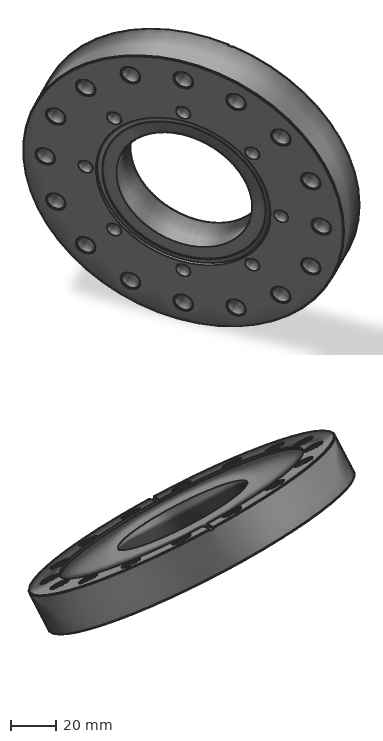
import cadquery as cq
import math

outer_diameter = 151.6
thickness = 19.9
bore_diameter = 64.0
rim_chamfer = 0.5

seal_diameter = 82.5
knife_tip_diameter = 77.2
knife_inner_diameter = 76.9
seal_depth = 1.2
knife_tip_depth = 0.6
knife_slope_angle = 20

rear_recess_diameter = 120.7
rear_recess_depth = 1.2

bolt_count = 16
bolt_circle = 130.2
bolt_hole_diameter = 8.5
bolt_hole_chamfer = 0.5

tapped_count = 8
tapped_circle = 92.2
tapped_hole_diameter = 6.8
tapped_hole_depth = 13.6
drill_tip_angle = 118

groove_width = 2.0
groove_depth = 0.9
groove_tilt = 180 / bolt_count

outer_radius = outer_diameter / 2
front = -thickness / 2
rear = thickness / 2


def revolved(points):
    """Turn a closed (radius, y) outline about the Y axis."""
    return cq.Workplane("XY").polyline(points).close().revolve(360, (0, 0, 0), (0, 1, 0))


def ring_positions(count, circle):
    """Equally spaced (x, z) places on a circle, the first one on +X."""
    step = 2 * math.pi / count
    return [(circle / 2 * math.cos(i * step), circle / 2 * math.sin(i * step)) for i in range(count)]


def flange_body():
    seal_radius = seal_diameter / 2
    knife_tip_radius = knife_tip_diameter / 2
    knife_inner_radius = knife_inner_diameter / 2
    bore_radius = bore_diameter / 2
    rear_recess_radius = rear_recess_diameter / 2
    seal_floor = front + seal_depth
    knife_tip = front + knife_tip_depth
    slope_foot = knife_tip + (seal_radius - knife_tip_radius) * math.tan(math.radians(knife_slope_angle))
    recess_floor = rear - rear_recess_depth
    return revolved([
        (bore_radius, seal_floor),
        (knife_inner_radius, seal_floor),
        (knife_tip_radius, knife_tip),
        (seal_radius, slope_foot),
        (seal_radius, front),
        (outer_radius - rim_chamfer, front),
        (outer_radius, front + rim_chamfer),
        (outer_radius, rear - rim_chamfer),
        (outer_radius - rim_chamfer, rear),
        (rear_recess_radius, rear),
        (rear_recess_radius, recess_floor),
        (bore_radius, recess_floor),
    ])


def bolt_hole():
    """Through hole chamfered at both faces."""
    radius = bolt_hole_diameter / 2
    mouth_radius = radius + bolt_hole_chamfer
    return revolved([
        (0, front),
        (mouth_radius, front),
        (radius, front + bolt_hole_chamfer),
        (radius, rear - bolt_hole_chamfer),
        (mouth_radius, rear),
        (0, rear),
    ])


def tapped_hole():
    """Blind hole with a conical drill tip."""
    radius = tapped_hole_diameter / 2
    shoulder = front + tapped_hole_depth
    tip = shoulder + radius / math.tan(math.radians(drill_tip_angle / 2))
    return revolved([(0, front), (radius, front), (radius, shoulder), (0, tip)])


def leak_groove():
    """Radial cutter along +Z that joins the rear recess to the rim."""
    groove = cq.Workplane("XY").box(groove_width, groove_depth, outer_radius, centered=(True, False, False))
    return groove.translate((0, rear - groove_depth, 0))


result = flange_body()

for x, z in ring_positions(bolt_count, bolt_circle):
    result = result.cut(bolt_hole().translate((x, 0, z)))

for x, z in ring_positions(tapped_count, tapped_circle):
    result = result.cut(tapped_hole().translate((x, 0, z)))

for turn in (0, 180):
    result = result.cut(leak_groove().rotate((0, 0, 0), (0, 1, 0), groove_tilt + turn))